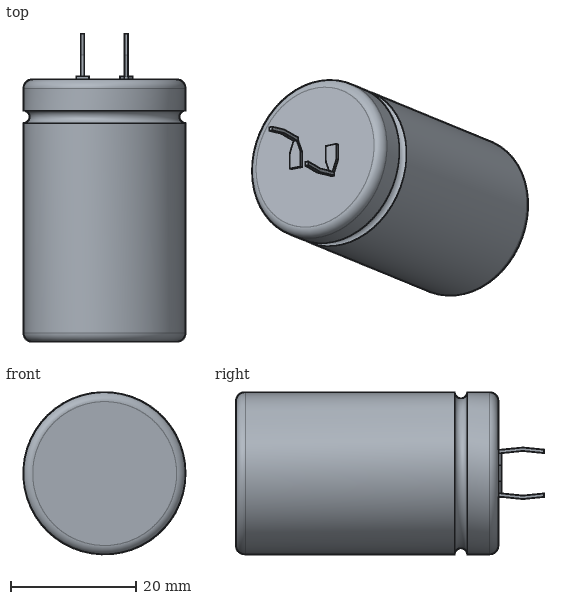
import cadquery as cq

total_length = 49.3
can_diameter = 26.0
can_length = 42.0
can_edge_radius = 1.5
can_radius = can_diameter / 2

groove_radius = 1.0
groove_from_terminal_end = 6.0
groove_y = can_length - groove_from_terminal_end

terminal_offset = 3.5
pin_width = 0.6
pin_thickness = 0.6
pin_bow = 0.35
pin_inner_z = terminal_offset - pin_thickness / 2
foot_width = 2.05
foot_straight_half_length = 1.3
foot_thickness = 0.5
foot_top_y = can_length + foot_thickness
embed_depth = 0.25


def make_can():
    """Can with rounded end edges and a half-round groove."""
    can = cq.Workplane("XZ").circle(can_radius).extrude(-can_length)
    can = can.edges().fillet(can_edge_radius)
    groove = (
        cq.Workplane("XY")
        .center(can_radius, groove_y)
        .circle(groove_radius)
        .revolve(360, (-can_radius, 0, 0), (-can_radius, 1, 0))
    )
    return can.cut(groove)


def make_foot():
    """Flat foot at +X, tapering to the pin width at the inner face of the pin."""
    right_side = [
        (foot_width / 2, -foot_straight_half_length),
        (foot_width / 2, foot_straight_half_length),
        (pin_width / 2, pin_inner_z),
    ]
    left_side = [(-x, z) for x, z in reversed(right_side)]
    return (
        cq.Workplane("XZ", origin=(terminal_offset, can_length - embed_depth, 0))
        .polyline(right_side + left_side)
        .close()
        .extrude(-(foot_thickness + embed_depth))
    )


def make_pin():
    """Square pin at +X, rising from the can and bent outward in a shallow V at mid length."""
    bend_y = (foot_top_y + total_length) / 2
    inner_side = [
        (can_length - embed_depth, pin_inner_z),
        (foot_top_y, pin_inner_z),
        (bend_y, pin_inner_z + pin_bow),
        (total_length, pin_inner_z),
    ]
    outer_side = [(y, z + pin_thickness) for y, z in reversed(inner_side)]
    return (
        cq.Workplane("YZ", origin=(terminal_offset - pin_width / 2, 0, 0))
        .polyline(inner_side + outer_side)
        .close()
        .extrude(pin_width)
    )


terminal = make_foot().union(make_pin())
result = make_can()
for angle in (0, 180):
    result = result.union(terminal.rotate((0, 0, 0), (0, 1, 0), angle))